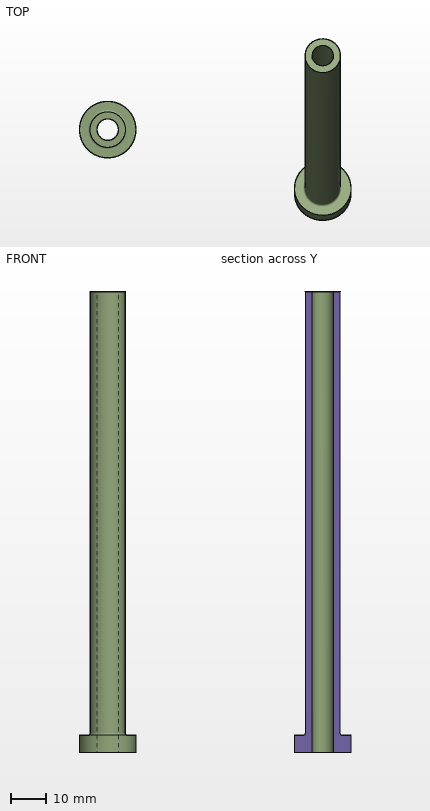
import cadquery as cq

total_length = 130.0
head_diameter = 16.0
head_height = 5.0
shaft_diameter = 10.0
bore_diameter = 6.0
root_fillet = 0.5

head = cq.Workplane("XY").circle(head_diameter / 2).extrude(head_height)
shaft = cq.Workplane("XY").circle(shaft_diameter / 2).extrude(total_length)
blank = head.union(shaft)

root_edge = cq.selectors.RadiusNthSelector(0)
head_top = cq.selectors.NearestToPointSelector((0, 0, head_height))
filleted = blank.faces(head_top).edges(root_edge).fillet(root_fillet)

bore = cq.Workplane("XY").circle(bore_diameter / 2).extrude(total_length)
result = filleted.cut(bore)